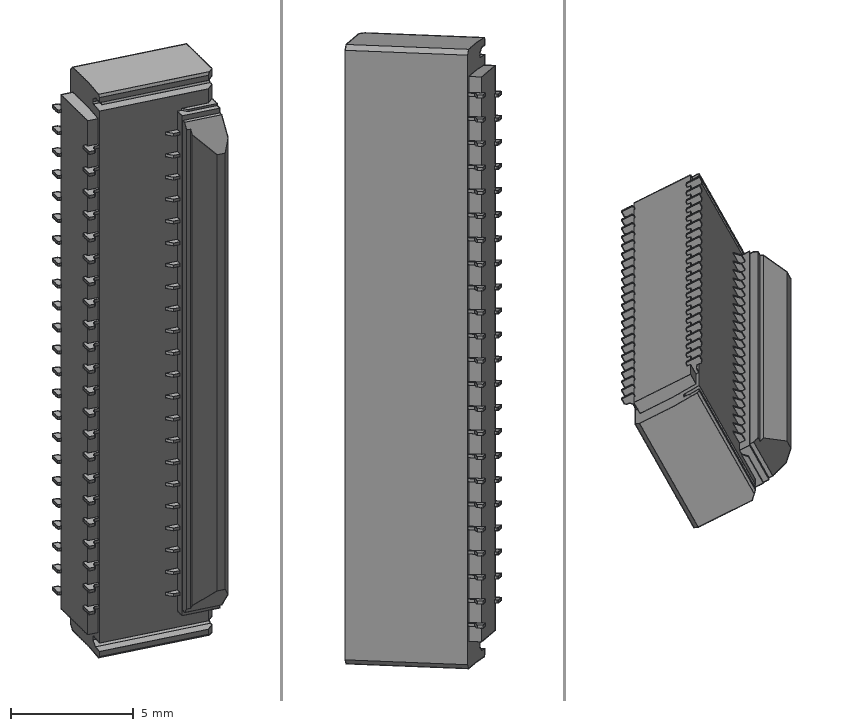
import cadquery as cq


LENGTH = 25.7
WIDTH = 3.0
DEPTH = 5.11
SEAM_X = 1.77
FRONT_SLOPE_RISE = 0.08
LEFT_END_CHAMFER = 0.2
RIGHT_END_CHAMFER = 0.1
BACK_CHAMFER = 0.3

PLINTH_LEFT = 0.23
PLINTH_RIGHT = 2.85
PLINTH_LENGTH = 23.45
PLINTH_HEIGHT = 0.55

NOTCH_OUTER = 0.33
NOTCH_INNER = 0.72
NOTCH_TIP = 0.51
NOTCH_RELIEF_TIP = 0.65
NOTCH_RELIEF_DEPTH = 0.25
NOTCH_OUTER_TAPER_X = 2.55
NOTCH_INNER_TAPER_X = 2.52
NOTCH_RELIEF_TAPER_X = 2.31
NOTCH_TIP_X = 2.25

LEDGE_ROOT_LENGTH = 22.8
LEDGE_ROOT_FRONT = 3.42
LEDGE_STEP_X = 3.47
LEDGE_LENGTH = 22.35
LEDGE_FRONT = 3.45
LEDGE_LIP_X = 3.85
LEDGE_LIP_TOP = 3.62
LEDGE_SLOPE_X = 4.0
LEDGE_NOSE_X = 4.65
LEDGE_NOSE_FRONT = 4.45
LEDGE_NOSE_BACK = 4.8
LEDGE_BACK_X = 4.27
LEDGE_TAPER_X = 3.65
LEDGE_NOSE_LENGTH = 19.9

RIB_LENGTH = 22.98
RIB_X = 3.2
RIB_FRONT = 3.6
RIB_CHAMFER = 0.2

PITCH = 1.0
LEFT_COUNT = 23
RIGHT_COUNT = LEFT_COUNT - 1
LEAD_THICKNESS = 0.13
LEAD_DROP = 0.7
FOOT_TOP = 0.39
TOE_CHAMFER = 0.08
HEEL_CHAMFER = 0.05
BEND = 0.1
LEFT_STEM_X = 0.05
LEFT_TOE_X = -0.25
LEFT_HEEL_X = 0.28
RIGHT_STEM_X = 2.98
RIGHT_TOE_X = 3.35
RIGHT_HEEL_X = 2.7
TIP_X = 3.26
TIP_FRONT = 2.88
TIP_CHAMFER = TIP_X - WIDTH

OVERLAP = 0.13


def prism(points, length):
    """Extrude an XY outline along Z, centred on Z = 0."""
    return cq.Workplane("XY").polyline(points).close().extrude(length / 2, both=True)


def housing():
    outline = [
        (0, 0),
        (SEAM_X, 0),
        (WIDTH, -FRONT_SLOPE_RISE),
        (WIDTH, DEPTH - BACK_CHAMFER),
        (WIDTH - BACK_CHAMFER, DEPTH),
        (0, DEPTH),
    ]
    block = prism(outline, LENGTH)
    block = block.faces("<X").edges("|Y").chamfer(LEFT_END_CHAMFER)
    return block.faces(">X").edges("|Y").chamfer(RIGHT_END_CHAMFER)


def slot(outline, depth):
    """Cutter with an XZ outline, running back from the front face."""
    start = FRONT_SLOPE_RISE + OVERLAP
    sketch = cq.Workplane("XZ", origin=(0, -start, 0)).polyline(outline).close()
    return sketch.extrude(-(start + depth))


def notch():
    """Pointed slot through the upper end of the right wall, blunt-tipped near the front face."""
    end = LENGTH / 2
    outer_side = [
        (WIDTH + OVERLAP, end - NOTCH_OUTER),
        (NOTCH_OUTER_TAPER_X, end - NOTCH_OUTER),
        (NOTCH_TIP_X, end - NOTCH_TIP),
    ]
    mouth_corner = (WIDTH + OVERLAP, end - NOTCH_INNER)
    pointed = outer_side + [
        (NOTCH_INNER_TAPER_X, end - NOTCH_INNER),
        mouth_corner,
    ]
    blunt = outer_side + [
        (NOTCH_TIP_X, end - NOTCH_RELIEF_TIP),
        (NOTCH_RELIEF_TAPER_X, end - NOTCH_INNER),
        mouth_corner,
    ]
    return slot(pointed, DEPTH + OVERLAP).union(slot(blunt, NOTCH_RELIEF_DEPTH))


def plinth():
    width = PLINTH_RIGHT - PLINTH_LEFT
    height = PLINTH_HEIGHT + OVERLAP
    block = cq.Workplane("XY").box(width, height, PLINTH_LENGTH, centered=(False, False, True))
    return block.translate((PLINTH_LEFT, -PLINTH_HEIGHT, 0))


def ledge():
    inside = WIDTH - BACK_CHAMFER
    root = prism(
        [
            (inside, LEDGE_ROOT_FRONT),
            (LEDGE_STEP_X, LEDGE_ROOT_FRONT),
            (LEDGE_STEP_X, DEPTH),
            (inside, DEPTH),
        ],
        LEDGE_ROOT_LENGTH,
    )
    nose = prism(
        [
            (WIDTH, LEDGE_FRONT),
            (LEDGE_LIP_X, LEDGE_FRONT),
            (LEDGE_LIP_X, LEDGE_LIP_TOP),
            (LEDGE_SLOPE_X, LEDGE_LIP_TOP),
            (LEDGE_NOSE_X, LEDGE_NOSE_FRONT),
            (LEDGE_NOSE_X, LEDGE_NOSE_BACK),
            (LEDGE_BACK_X, DEPTH),
            (WIDTH, DEPTH),
        ],
        LEDGE_LENGTH,
    )
    plan = [
        (WIDTH, LEDGE_LENGTH / 2),
        (LEDGE_TAPER_X, LEDGE_LENGTH / 2),
        (LEDGE_NOSE_X, LEDGE_NOSE_LENGTH / 2),
        (LEDGE_NOSE_X, -LEDGE_NOSE_LENGTH / 2),
        (LEDGE_TAPER_X, -LEDGE_LENGTH / 2),
        (WIDTH, -LEDGE_LENGTH / 2),
    ]
    tapered = cq.Workplane("XZ").polyline(plan).close().extrude(-DEPTH)
    rib = prism(
        [
            (inside, RIB_FRONT),
            (RIB_X - RIB_CHAMFER, RIB_FRONT),
            (RIB_X, RIB_FRONT + RIB_CHAMFER),
            (RIB_X, DEPTH),
            (inside, DEPTH),
        ],
        RIB_LENGTH,
    )
    return root.union(nose.intersect(tapered)).union(rib)


def lead(stem_x, toe_x, heel_x):
    """Stem beside the plinth, bent outward into a solder foot."""
    out = 1 if toe_x > heel_x else -1
    return prism(
        [
            (heel_x, OVERLAP),
            (stem_x, OVERLAP),
            (stem_x, BEND - FOOT_TOP),
            (stem_x + out * BEND, -FOOT_TOP),
            (toe_x - out * TOE_CHAMFER, -FOOT_TOP),
            (toe_x, -FOOT_TOP - TOE_CHAMFER),
            (toe_x, -LEAD_DROP),
            (heel_x + out * HEEL_CHAMFER, -LEAD_DROP),
            (heel_x, HEEL_CHAMFER - LEAD_DROP),
        ],
        LEAD_THICKNESS,
    )


def contact_tip():
    """End of a contact showing below the ledge on the right wall."""
    return prism(
        [
            (WIDTH - OVERLAP, TIP_FRONT),
            (WIDTH, TIP_FRONT),
            (TIP_X, TIP_FRONT + TIP_CHAMFER),
            (TIP_X, LEDGE_FRONT + OVERLAP),
            (WIDTH - OVERLAP, LEDGE_FRONT + OVERLAP),
        ],
        LEAD_THICKNESS,
    )


def row(piece, count):
    """Copies of one piece along Z, centred on mid-length."""
    first = -PITCH * (count - 1) / 2
    return [piece.translate((0, 0, first + PITCH * i)) for i in range(count)]


upper_notch = notch()
body = housing().cut(upper_notch).cut(upper_notch.mirror("XY"))
body = body.union(plinth()).union(ledge())

contacts = row(lead(LEFT_STEM_X, LEFT_TOE_X, LEFT_HEEL_X), LEFT_COUNT)
contacts += row(lead(RIGHT_STEM_X, RIGHT_TOE_X, RIGHT_HEEL_X), RIGHT_COUNT)
contacts += row(contact_tip(), RIGHT_COUNT)
for contact in contacts:
    body = body.union(contact)

result = body